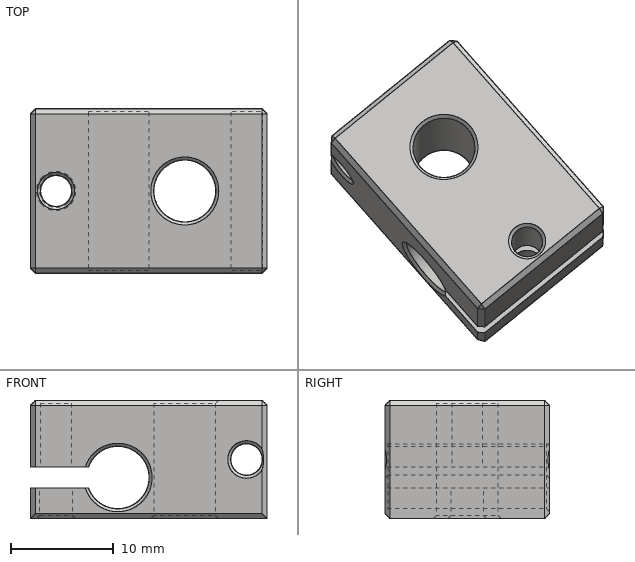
import cadquery as cq

LENGTH = 23.0
WIDTH = 16.0
HEIGHT = 11.5
EDGE_CHAMFER = 0.5

CLAMP_BORE_DIAMETER = 6.05
VERTICAL_BORE_DIAMETER = 6.0
CLAMP_THREAD_DIAMETER = 3.0
CLAMP_CLEARANCE_DIAMETER = 3.2
END_HOLE_DIAMETER = 3.05
MOUTH_CHAMFER = 0.3

CLAMP_BORE_FROM_LEFT = 8.5
VERTICAL_BORE_FROM_LEFT = 15.0
CLAMP_SCREW_FROM_LEFT = 2.5
END_HOLE_FROM_RIGHT = 2.0

LEFT_END = -LENGTH / 2
RIGHT_END = LENGTH / 2
CLAMP_BORE_X = LEFT_END + CLAMP_BORE_FROM_LEFT
CLAMP_BORE_Z = 4.0
VERTICAL_BORE_X = LEFT_END + VERTICAL_BORE_FROM_LEFT
CLAMP_SCREW_X = LEFT_END + CLAMP_SCREW_FROM_LEFT
END_HOLE_X = RIGHT_END - END_HOLE_FROM_RIGHT
END_HOLE_Z = HEIGHT / 2

SLOT_WIDTH = 2.0


def chamfered_block():
    """Block with every edge chamfered except the two bottom edges along Y."""
    block = cq.Workplane("XY").box(LENGTH, WIDTH, HEIGHT, centered=(True, True, False))
    return block.edges("|X or |Z or (|Y and >Z)").chamfer(EDGE_CHAMFER)


def hole_cutter(diameter, depth):
    """Cylinder rising from Z = 0, flared at 45 degrees at both ends."""
    radius = diameter / 2
    mouth_radius = radius + MOUTH_CHAMFER
    profile = [
        (0, 0),
        (mouth_radius, 0),
        (radius, MOUTH_CHAMFER),
        (radius, depth - MOUTH_CHAMFER),
        (mouth_radius, depth),
        (0, depth),
    ]
    return cq.Workplane("XZ").polyline(profile).close().revolve(360, (0, 0), (0, 1))


def vertical_hole(x, diameter):
    """Hole cutter through the full height, on the mid-width plane."""
    return hole_cutter(diameter, HEIGHT).translate((x, 0, 0))


def cross_hole(x, z, diameter):
    """Hole cutter through the full width, parallel to Y."""
    lying = hole_cutter(diameter, WIDTH).rotate((0, 0, 0), (1, 0, 0), 90)
    return lying.translate((x, WIDTH / 2, z))


def clamp_screw_hole():
    """Narrow screw hole from the top, widened to a clearance hole in the jaw below the slot."""
    threaded = vertical_hole(CLAMP_SCREW_X, CLAMP_THREAD_DIAMETER)
    clearance = vertical_hole(CLAMP_SCREW_X, CLAMP_CLEARANCE_DIAMETER)
    below_slot_axis = cq.Workplane("XY").box(LENGTH, WIDTH, CLAMP_BORE_Z, centered=(True, True, False))
    return threaded.union(clearance.intersect(below_slot_axis))


def clamp_slot():
    """Slot from the -X end into the clamp bore, through the full width."""
    slot = cq.Workplane("XY").box(CLAMP_BORE_FROM_LEFT, WIDTH, SLOT_WIDTH, centered=(False, True, True))
    return slot.translate((LEFT_END, 0, CLAMP_BORE_Z))


result = (
    chamfered_block()
    .cut(vertical_hole(VERTICAL_BORE_X, VERTICAL_BORE_DIAMETER))
    .cut(clamp_screw_hole())
    .cut(cross_hole(CLAMP_BORE_X, CLAMP_BORE_Z, CLAMP_BORE_DIAMETER))
    .cut(cross_hole(END_HOLE_X, END_HOLE_Z, END_HOLE_DIAMETER))
    .cut(clamp_slot())
)